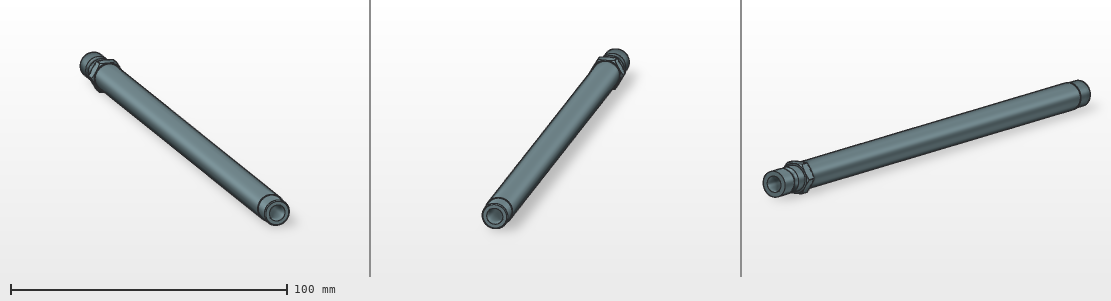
import cadquery as cq
import math

total_length = 200.0
nipple_end = 6.0
groove_bottom = 7.5
groove_end = 8.8
hex_start = 13.0
hex_end = 17.2
tube_end = 193.0

nipple_diameter = 9.5
groove_diameter = 7.8
tube_diameter = 10.2
spigot_diameter = 9.5
bore_diameter = 6.0
spigot_chamfer = 0.5

hex_sides = 6
hex_across_flats = 11.0
hex_corner_trim_diameter = 12.5
hex_chamfer_angle = 30.0


def revolve_about_x(points):
    """Revolve a closed outline of (x, radius) points about the X axis."""
    return cq.Workplane("XZ").polyline(points).close().revolve(360, (0, 0, 0), (1, 0, 0))


def make_body():
    """Turned body: nipple with a V groove, tube and end spigot."""
    nipple_radius = nipple_diameter / 2
    groove_radius = groove_diameter / 2
    tube_radius = tube_diameter / 2
    spigot_radius = spigot_diameter / 2
    return revolve_about_x([
        (0, 0),
        (0, nipple_radius),
        (nipple_end, nipple_radius),
        (groove_bottom, groove_radius),
        (groove_end, nipple_radius),
        (hex_start, nipple_radius),
        (hex_start, tube_radius),
        (tube_end, tube_radius),
        (tube_end, spigot_radius),
        (total_length - spigot_chamfer, spigot_radius),
        (total_length, spigot_radius - spigot_chamfer),
        (total_length, 0),
    ])


def make_hex_collar():
    """Hexagon with flats facing +Z and -Z, its corners coned on both faces."""
    corner_diameter = hex_across_flats / math.cos(math.pi / hex_sides)
    hexagon = (
        cq.Workplane("YZ", origin=(hex_start, 0, 0))
        .polygon(hex_sides, corner_diameter)
        .extrude(hex_end - hex_start)
    )
    flat_radius = hex_across_flats / 2
    trim_radius = hex_corner_trim_diameter / 2
    cone_depth = (trim_radius - flat_radius) * math.tan(math.radians(hex_chamfer_angle))
    envelope = revolve_about_x([
        (hex_start, 0),
        (hex_start, flat_radius),
        (hex_start + cone_depth, trim_radius),
        (hex_end - cone_depth, trim_radius),
        (hex_end, flat_radius),
        (hex_end, 0),
    ])
    return hexagon.intersect(envelope)


bore = cq.Workplane("YZ").circle(bore_diameter / 2).extrude(total_length)

result = make_body().union(make_hex_collar()).cut(bore)